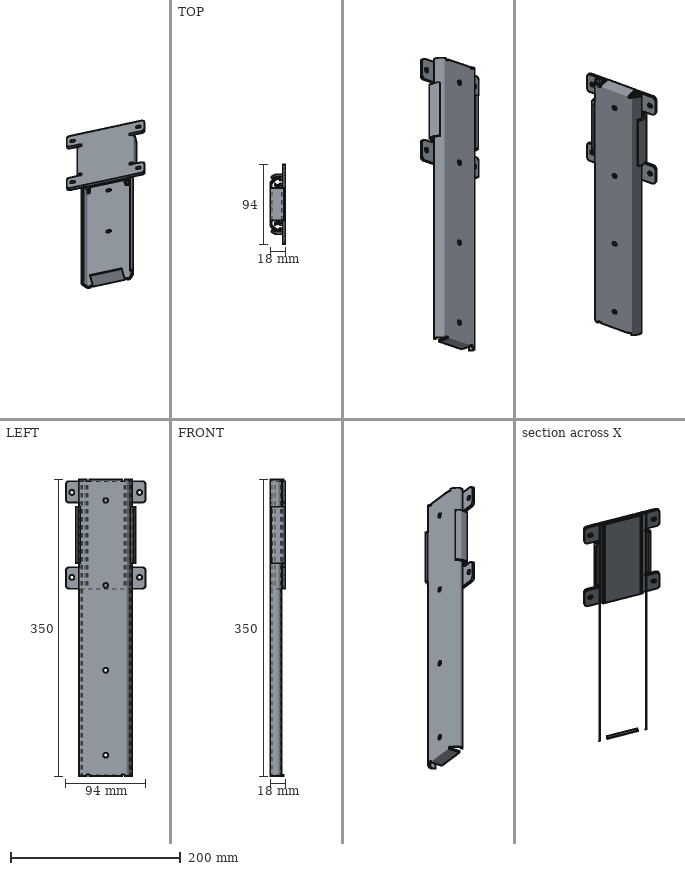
import cadquery as cq
import math


LENGTH = 350.0
SHEET = 2.0
RACE_RADIUS = 6.0
RACE_X = 8.8
RAIL_HALF_WIDTH = 31.5
FLANK_ANGLE = 41.0
LIP_ANGLE = 55.0
WEB_BEND_RADIUS = 5.0
STOP_HALF_WIDTH = 19.2
STOP_REACH = 15.8
STOP_BEND_RADIUS = 1.5
RELIEF_WIDTH = 3.0
RAIL_HOLE_DIAMETER = 5.5
RAIL_HOLE_COUNT = 4
RAIL_HOLE_MARGIN = 25.0
RAIL_HOLE_PITCH = (LENGTH - 2 * RAIL_HOLE_MARGIN) / (RAIL_HOLE_COUNT - 1)

OVERALL_DEPTH = 18.0
PLATE = 3.0
PLATE_INNER_X = OVERALL_DEPTH - PLATE
BRACKET_TOP = LENGTH - SHEET
BRACKET_LENGTH = 127.0
BRACKET_MID = BRACKET_TOP - BRACKET_LENGTH / 2
BRACKET_WIDTH = 94.0
BRACKET_HALF_WIDTH = BRACKET_WIDTH / 2
EAR_HEIGHT = 25.5
EAR_RADIUS = 4.2
EAR_HOLE_DIAMETER = 5.5
EAR_HOLE_Y = 40.0
EAR_HOLE_PITCH = RAIL_HOLE_PITCH
HOOK_LENGTH = 66.5
HOOK_HALF_WIDTH = 35.5
HOOK_BEND_RADIUS = 4.2
HOOK_ANGLE = 30.0
HOOK_TIP_BEND_X = 7.5
HOOK_TIP_X = 1.0

SLIDE_HALF_WIDTH = 25.0
FLANGE_END_X = 5.2
GROOVE_X = 8.8
GROOVE_HALF_WIDTH = 3.0
GROOVE_DEPTH = 1.8
FLANGE_INNER_SAG = 1.0


def on_circle(centre, radius, angle):
    """Point at an angle in degrees, turned from +Y toward +X."""
    turn = math.radians(angle)
    return (centre[0] + radius * math.sin(turn), centre[1] + radius * math.cos(turn))


def extruded(half_outline, bottom, height):
    """Extrude a half section (Y >= 0) and join it to its mirror image across Y = 0."""
    half = half_outline.close().extrude(height).translate((0, 0, bottom))
    return half.union(half.mirror("XZ"))


def box(x_range, y_range, z_range):
    size = [high - low for low, high in (x_range, y_range, z_range)]
    corner = (x_range[0], y_range[0], z_range[0])
    return cq.Workplane("XY").box(*size, centered=False).translate(corner)


def rail_channel():
    race = (RACE_X, RAIL_HALF_WIDTH - RACE_RADIUS)
    race_inner = RACE_RADIUS - SHEET
    bend_inner = WEB_BEND_RADIUS - SHEET
    flank = math.radians(FLANK_ANGLE)
    across = RACE_RADIUS - WEB_BEND_RADIUS
    along = (RACE_X - across * math.sin(flank) - WEB_BEND_RADIUS) / math.cos(flank)
    bend = (
        WEB_BEND_RADIUS,
        race[1] + across * math.cos(flank) - along * math.sin(flank),
    )
    bend_middle = -(90 + FLANK_ANGLE) / 2
    outline = (
        cq.Workplane("XY")
        .moveTo(0, 0)
        .lineTo(0, bend[1])
        .threePointArc(
            on_circle(bend, WEB_BEND_RADIUS, bend_middle),
            on_circle(bend, WEB_BEND_RADIUS, -FLANK_ANGLE),
        )
        .lineTo(*on_circle(race, RACE_RADIUS, -FLANK_ANGLE))
        .threePointArc(
            on_circle(race, RACE_RADIUS, 0),
            on_circle(race, RACE_RADIUS, LIP_ANGLE),
        )
        .lineTo(*on_circle(race, race_inner, LIP_ANGLE))
        .threePointArc(
            on_circle(race, race_inner, 0),
            on_circle(race, race_inner, -FLANK_ANGLE),
        )
        .lineTo(*on_circle(bend, bend_inner, -FLANK_ANGLE))
        .threePointArc(on_circle(bend, bend_inner, bend_middle), (SHEET, bend[1]))
        .lineTo(SHEET, 0)
    )
    return extruded(outline, 0, LENGTH)


def make_rail():
    rail = rail_channel()
    relief_end = STOP_HALF_WIDTH + RELIEF_WIDTH
    for stop_bottom, edge in ((0, "<X and <Z"), (LENGTH - SHEET, "<X and >Z")):
        stop_z = (stop_bottom, stop_bottom + SHEET)
        rail = rail.cut(box((0, SHEET), (-relief_end, relief_end), stop_z))
        stop = box((0, STOP_REACH), (-STOP_HALF_WIDTH, STOP_HALF_WIDTH), stop_z)
        rail = rail.union(stop.edges(edge).fillet(STOP_BEND_RADIUS))

    holes = (
        cq.Workplane("YZ", origin=(0, 0, LENGTH / 2))
        .rarray(3.5, RAIL_HOLE_PITCH, 1, RAIL_HOLE_COUNT)
        .circle(RAIL_HOLE_DIAMETER / 2)
        .extrude(SHEET)
    )
    return rail.cut(holes)


def hook_section():
    """Plate from the middle, bent into a side wall whose free end tilts inward."""
    bend_inner = HOOK_BEND_RADIUS - PLATE
    centre_y = HOOK_HALF_WIDTH - HOOK_BEND_RADIUS
    corner = (OVERALL_DEPTH - HOOK_BEND_RADIUS, centre_y)
    tip_bend = (HOOK_TIP_BEND_X, centre_y)
    bend_end = on_circle(tip_bend, HOOK_BEND_RADIUS, -HOOK_ANGLE)
    tilt = math.radians(HOOK_ANGLE)
    tip_outer = (HOOK_TIP_X, bend_end[1] - (bend_end[0] - HOOK_TIP_X) * math.tan(tilt))
    tip_inner = on_circle(tip_outer, -PLATE, -HOOK_ANGLE)
    return (
        cq.Workplane("XY")
        .moveTo(OVERALL_DEPTH, 0)
        .lineTo(OVERALL_DEPTH, centre_y)
        .threePointArc(
            on_circle(corner, HOOK_BEND_RADIUS, 45),
            on_circle(corner, HOOK_BEND_RADIUS, 0),
        )
        .lineTo(HOOK_TIP_BEND_X, HOOK_HALF_WIDTH)
        .threePointArc(on_circle(tip_bend, HOOK_BEND_RADIUS, -HOOK_ANGLE / 2), bend_end)
        .lineTo(*tip_outer)
        .lineTo(*tip_inner)
        .lineTo(*on_circle(tip_bend, bend_inner, -HOOK_ANGLE))
        .threePointArc(
            on_circle(tip_bend, bend_inner, -HOOK_ANGLE / 2),
            on_circle(tip_bend, bend_inner, 0),
        )
        .lineTo(*on_circle(corner, bend_inner, 0))
        .threePointArc(on_circle(corner, bend_inner, 45), (PLATE_INNER_X, centre_y))
        .lineTo(PLATE_INNER_X, 0)
    )


def make_bracket():
    plate_x = (PLATE_INNER_X, OVERALL_DEPTH)
    hook_root_y = HOOK_HALF_WIDTH - HOOK_BEND_RADIUS
    half_length = BRACKET_LENGTH / 2
    ear_inner = half_length - EAR_HEIGHT
    slot_width = ear_inner - HOOK_LENGTH / 2
    slot_mid = HOOK_LENGTH / 2 + slot_width / 2

    bracket = box(plate_x, (-hook_root_y, hook_root_y), (BRACKET_MID - half_length, BRACKET_TOP))
    for side in (-1, 1):
        ear_mid = BRACKET_MID + side * (half_length - EAR_HEIGHT / 2)
        ears = box(
            plate_x,
            (-BRACKET_HALF_WIDTH, BRACKET_HALF_WIDTH),
            (ear_mid - EAR_HEIGHT / 2, ear_mid + EAR_HEIGHT / 2),
        )
        bracket = bracket.union(ears.edges("|X").fillet(EAR_RADIUS))

    slots = (
        cq.Workplane("YZ", origin=(PLATE_INNER_X, 0, BRACKET_MID))
        .rarray(2 * hook_root_y, 2 * slot_mid, 2, 2)
        .circle(slot_width / 2)
        .extrude(PLATE)
    )
    bracket = bracket.cut(slots)
    bracket = bracket.union(extruded(hook_section(), BRACKET_MID - HOOK_LENGTH / 2, HOOK_LENGTH))

    holes = (
        cq.Workplane("YZ", origin=(PLATE_INNER_X, 0, BRACKET_MID))
        .rarray(2 * EAR_HOLE_Y, EAR_HOLE_PITCH, 2, 2)
        .circle(EAR_HOLE_DIAMETER / 2)
        .extrude(PLATE)
    )
    return bracket.cut(holes)


def make_slide():
    web_inner_x = PLATE_INNER_X - SHEET
    groove_y = SLIDE_HALF_WIDTH - GROOVE_DEPTH
    shoulder_y = groove_y - SHEET + FLANGE_INNER_SAG
    outline = (
        cq.Workplane("XY")
        .moveTo(PLATE_INNER_X, 0)
        .lineTo(PLATE_INNER_X, SLIDE_HALF_WIDTH)
        .lineTo(GROOVE_X + GROOVE_HALF_WIDTH, SLIDE_HALF_WIDTH)
        .threePointArc((GROOVE_X, groove_y), (GROOVE_X - GROOVE_HALF_WIDTH, SLIDE_HALF_WIDTH))
        .lineTo(FLANGE_END_X, SLIDE_HALF_WIDTH)
        .lineTo(FLANGE_END_X, shoulder_y)
        .threePointArc((GROOVE_X, groove_y - SHEET), (2 * GROOVE_X - FLANGE_END_X, shoulder_y))
        .lineTo(web_inner_x, shoulder_y)
        .lineTo(web_inner_x, 0)
    )
    return extruded(outline, BRACKET_TOP - BRACKET_LENGTH, BRACKET_LENGTH)


rail = make_rail()
bracket = make_bracket()
slide = make_slide()

result = cq.Compound.makeCompound([rail.val(), bracket.val(), slide.val()])